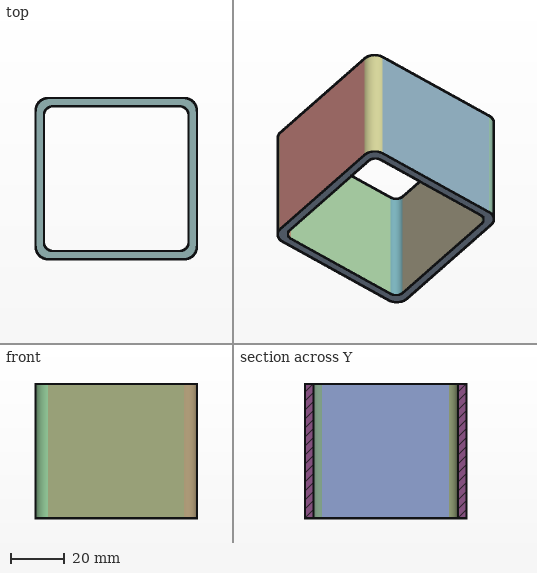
import cadquery as cq

side = 60.0
height = 50.0
wall = 3.2
outer_radius = 4.8
inner_radius = 3.2


def rounded_square_prism(width, corner_radius):
    """Square prism along Z with rounded vertical edges."""
    prism = cq.Workplane("XY").rect(width, width).extrude(height)
    return prism.edges("|Z").fillet(corner_radius)


outer_body = rounded_square_prism(side, outer_radius)
bore = rounded_square_prism(side - 2 * wall, inner_radius)

result = outer_body.cut(bore)